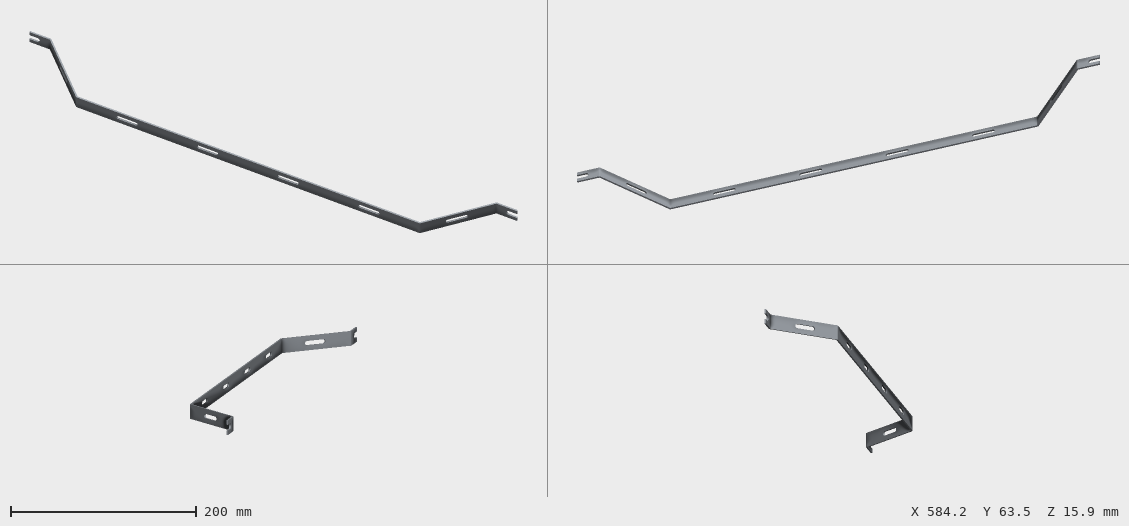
import cadquery as cq
import math

overall_length = 584.2
overall_depth = 63.5
strip_width = 15.875
thickness = 1.83
bend_angle = 45.0
inner_bend_radius = thickness / 2
outer_bend_radius = inner_bend_radius + thickness

flange_length = 25.4

slot_length = 25.4
slot_width = 4.7625
base_slot_pitch = 96.52
base_slot_count = 4
ramp_slot_shift = 1.1

end_slot_width = 6.35
end_slot_depth = 12.7

half_length = overall_length / 2
rise = overall_depth - thickness
run = rise / math.tan(math.radians(bend_angle))
bend_setback = thickness * math.tan(math.radians(bend_angle / 2))

flange_outer_x = half_length - flange_length
flange_inner_x = flange_outer_x + bend_setback
base_inner_x = flange_outer_x - run
base_outer_x = flange_inner_x - run

ramp_center_x = (flange_inner_x + base_inner_x) / 2 - ramp_slot_shift
ramp_center_y = overall_depth / 2 - ramp_slot_shift


def make_strip():
    """Bent strip centred on X and Z, with the base face at Y = 0."""
    right_lower = [(base_outer_x, 0), (flange_inner_x, rise), (half_length, rise)]
    right_upper = [
        (half_length, overall_depth),
        (flange_outer_x, overall_depth),
        (base_inner_x, thickness),
    ]
    right_side = right_lower + right_upper
    left_side = [(-x, y) for x, y in reversed(right_side)]
    strip = (
        cq.Workplane("XY")
        .polyline(right_side + left_side)
        .close()
        .extrude(strip_width / 2, both=True)
    )
    strip = round_bends(strip, [(base_outer_x, 0), (flange_outer_x, overall_depth)], outer_bend_radius)
    return round_bends(strip, [(base_inner_x, thickness), (flange_inner_x, rise)], inner_bend_radius)


def round_bends(strip, corners, radius):
    """Round the given right-hand corners and their mirror images."""
    for x, y in corners:
        for side in (-1, 1):
            nearest = cq.selectors.NearestToPointSelector((side * x, y, 0))
            strip = strip.edges("|Z").edges(nearest).fillet(radius)
    return strip


def slot_cutter(length, width, center_x, center_y, turn=0):
    """Round-ended cutter through the strip, turned about Z by the given degrees."""
    return (
        cq.Workplane("XZ")
        .slot2D(length, width)
        .extrude(2 * thickness, both=True)
        .rotate((0, 0, 0), (0, 0, 1), turn)
        .translate((center_x, center_y, 0))
    )


def cut_base_slots(strip):
    """Evenly spaced row of slots, centred on the base."""
    for index in range(base_slot_count):
        x = (index - (base_slot_count - 1) / 2) * base_slot_pitch
        strip = strip.cut(slot_cutter(slot_length, slot_width, x, thickness / 2))
    return strip


def cut_ramp_slots(strip):
    """One slot in each ramp, cut square to its faces."""
    for side in (-1, 1):
        cutter = slot_cutter(
            slot_length, slot_width, side * ramp_center_x, ramp_center_y, side * bend_angle
        )
        strip = strip.cut(cutter)
    return strip


def cut_end_slots(strip):
    """Slots centred on the strip tips, so that half of each stays open."""
    for side in (-1, 1):
        cutter = slot_cutter(
            2 * end_slot_depth, end_slot_width, side * half_length, overall_depth - thickness / 2
        )
        strip = strip.cut(cutter)
    return strip


result = cut_end_slots(cut_ramp_slots(cut_base_slots(make_strip())))